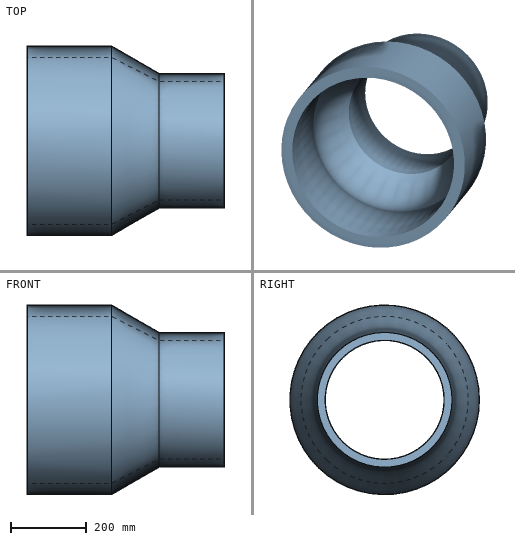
import cadquery as cq

total_length = 520.0
wide_length = 222.5
narrow_length = 172.0
wide_outer_diameter = 500.0
wide_bore_diameter = 440.6
narrow_outer_diameter = 355.0
narrow_bore_diameter = 312.8

taper_start = wide_length
taper_end = total_length - narrow_length


def stepped_cone(wide_diameter, narrow_diameter):
    """Solid of revolution about X: wide cylinder, cone, narrow cylinder."""
    wide_radius = wide_diameter / 2
    narrow_radius = narrow_diameter / 2
    return (
        cq.Workplane("XY")
        .moveTo(0, 0)
        .lineTo(0, wide_radius)
        .lineTo(taper_start, wide_radius)
        .lineTo(taper_end, narrow_radius)
        .lineTo(total_length, narrow_radius)
        .lineTo(total_length, 0)
        .close()
        .revolve(360, (0, 0, 0), (1, 0, 0))
    )


outer_body = stepped_cone(wide_outer_diameter, narrow_outer_diameter)
bore = stepped_cone(wide_bore_diameter, narrow_bore_diameter)
result = outer_body.cut(bore)